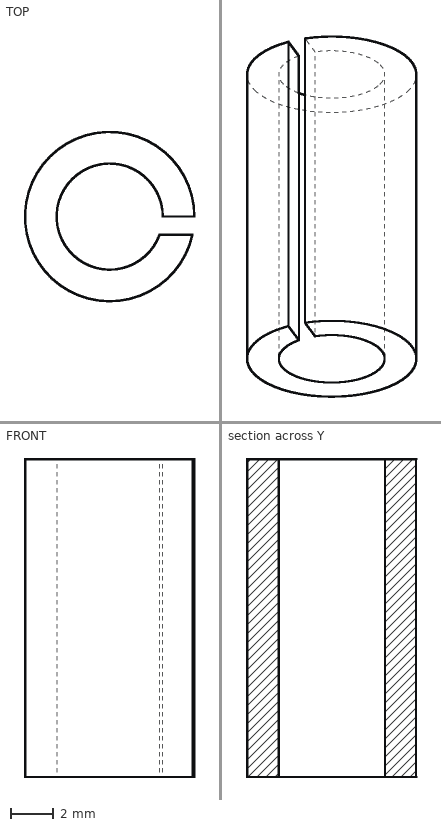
import cadquery as cq

length = 15.0
outer_diameter = 8.0
bore_diameter = 5.0
slot_width = 0.85

sleeve = cq.Workplane("XY").circle(outer_diameter / 2).circle(bore_diameter / 2).extrude(length)

slot = cq.Workplane("XY").box(outer_diameter, slot_width, length, centered=False).translate((0, -slot_width, 0))

result = sleeve.cut(slot)